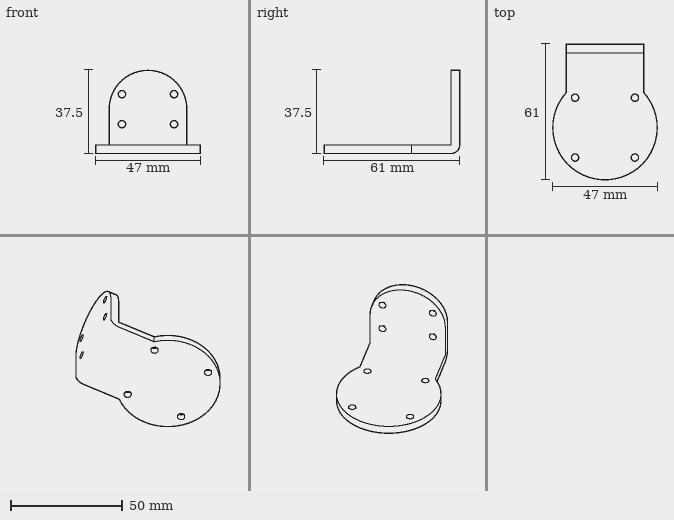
import cadquery as cq
import math

THICKNESS = 4.0
INNER_BEND_RADIUS = 0.1
OUTER_BEND_RADIUS = INNER_BEND_RADIUS + THICKNESS
ARC_MIDPOINT_OFFSET = 1 - math.sqrt(0.5)

DISC_DIAMETER = 47.0
BACK_Y = 37.5

TAB_WIDTH = 35.0
TAB_RADIUS = TAB_WIDTH / 2
TAB_HEIGHT = 37.5
TAB_ARC_Z = TAB_HEIGHT - TAB_RADIUS

HOLE_DIAMETER = 3.2
DISC_BOLT_CIRCLE = 38.0
DISC_HOLE_PITCH = DISC_BOLT_CIRCLE / math.sqrt(2)
TAB_BOLT_CIRCLE = 27.0
TAB_HOLE_ANGLE = math.radians(30)
TAB_HOLE_PITCH_X = TAB_BOLT_CIRCLE * math.cos(TAB_HOLE_ANGLE)
TAB_HOLE_PITCH_Z = TAB_BOLT_CIRCLE * math.sin(TAB_HOLE_ANGLE)


def make_disc():
    return cq.Workplane("XY").circle(DISC_DIAMETER / 2).extrude(THICKNESS)


def make_bent_strip():
    """L-shaped side profile, as wide as the tab, with both bend radii."""
    front_face_y = BACK_Y - THICKNESS
    inner_mid = INNER_BEND_RADIUS * ARC_MIDPOINT_OFFSET
    outer_mid = OUTER_BEND_RADIUS * ARC_MIDPOINT_OFFSET
    return (
        cq.Workplane("YZ")
        .moveTo(0, 0)
        .lineTo(BACK_Y - OUTER_BEND_RADIUS, 0)
        .threePointArc((BACK_Y - outer_mid, outer_mid), (BACK_Y, OUTER_BEND_RADIUS))
        .lineTo(BACK_Y, TAB_HEIGHT)
        .lineTo(front_face_y, TAB_HEIGHT)
        .lineTo(front_face_y, THICKNESS + INNER_BEND_RADIUS)
        .threePointArc(
            (front_face_y - inner_mid, THICKNESS + inner_mid),
            (front_face_y - INNER_BEND_RADIUS, THICKNESS),
        )
        .lineTo(0, THICKNESS)
        .close()
        .extrude(TAB_RADIUS, both=True)
    )


def make_tab_envelope():
    """Block with a semicircular top that rounds the upright."""
    return (
        cq.Workplane("XZ")
        .moveTo(-TAB_RADIUS, 0)
        .lineTo(TAB_RADIUS, 0)
        .lineTo(TAB_RADIUS, TAB_ARC_Z)
        .threePointArc((0, TAB_HEIGHT), (-TAB_RADIUS, TAB_ARC_Z))
        .close()
        .extrude(-BACK_Y)
    )


def make_disc_holes():
    return (
        cq.Workplane("XY")
        .rarray(DISC_HOLE_PITCH, DISC_HOLE_PITCH, 2, 2)
        .circle(HOLE_DIAMETER / 2)
        .extrude(THICKNESS)
    )


def make_tab_holes():
    return (
        cq.Workplane("XZ", origin=(0, BACK_Y, TAB_ARC_Z))
        .rarray(TAB_HOLE_PITCH_X, TAB_HOLE_PITCH_Z, 2, 2)
        .circle(HOLE_DIAMETER / 2)
        .extrude(THICKNESS)
    )


bracket = make_bent_strip().intersect(make_tab_envelope()).union(make_disc())
result = bracket.cut(make_disc_holes()).cut(make_tab_holes())